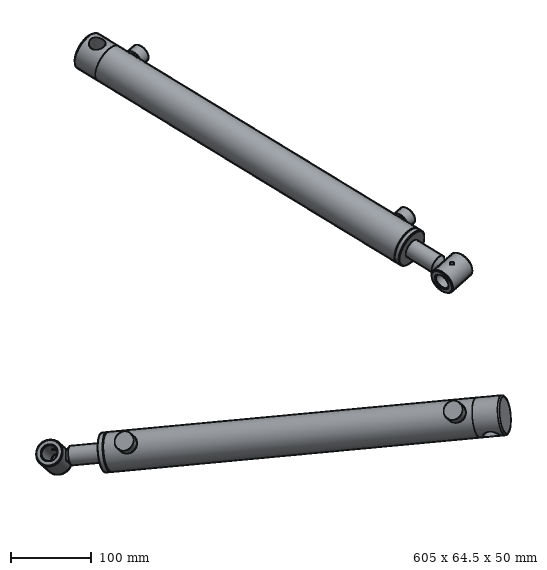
import cadquery as cq

overall_length = 605.0
barrel_diameter = 50.0
barrel_radius = barrel_diameter / 2

cap_length = 35.0
cap_chamfer = 2.0
cap_hole_diameter = 20.5
cap_hole_x = 17.5

gland_end_x = 523.5
gland_length = 8.0
gland_chamfer = 1.0
barrel_end_x = gland_end_x - gland_length

eye_diameter = 35.0
eye_length = 40.0
eye_bore_diameter = 20.0
eye_chamfer = 1.0
grease_hole_diameter = 5.5
eye_x = overall_length - eye_diameter / 2

rod_diameter = 25.0
rod_shoulder_x = 565.0
rod_taper = 7.0

port_diameter = 25.0
port_height = 14.5
port_chamfer = 2.0
port_seat_depth = 1.0
port_positions = [55.0, 483.5]


def cylinder_along_x(diameter, start_x, end_x):
    return cq.Workplane("YZ", origin=(start_x, 0, 0)).circle(diameter / 2).extrude(end_x - start_x)


def cylinder_along_y(diameter, length, center_x):
    return cq.Workplane("XZ", origin=(center_x, length / 2, 0)).circle(diameter / 2).extrude(length)


def cylinder_up_z(diameter, start_z, end_z, center_x):
    return cq.Workplane("XY", origin=(center_x, 0, start_z)).circle(diameter / 2).extrude(end_z - start_z)


def make_base_cap():
    cap = cylinder_along_x(barrel_diameter, 0, cap_length).faces("<X").chamfer(cap_chamfer)
    return cap.cut(cylinder_up_z(cap_hole_diameter, -barrel_radius, barrel_radius, cap_hole_x))


def make_barrel():
    return cylinder_along_x(barrel_diameter, cap_length, barrel_end_x)


def make_gland():
    gland = cylinder_along_x(barrel_diameter, barrel_end_x, gland_end_x)
    gland = gland.faces("<X or >X").chamfer(gland_chamfer)
    return gland.cut(cylinder_along_x(rod_diameter, barrel_end_x, gland_end_x))


def make_rod():
    rod = cylinder_along_x(rod_diameter, barrel_end_x, rod_shoulder_x + rod_taper)
    rod = rod.faces(">X").chamfer(rod_taper)
    return rod.cut(cylinder_along_y(eye_diameter, eye_length, eye_x))


def make_rod_eye():
    eye = cylinder_along_y(eye_diameter, eye_length, eye_x)
    eye = eye.cut(cylinder_along_y(eye_bore_diameter, eye_length, eye_x))
    eye = eye.faces("<Y or >Y").chamfer(eye_chamfer)
    return eye.cut(cylinder_up_z(grease_hole_diameter, 0, eye_diameter / 2, eye_x))


def make_port(center_x):
    outer_y = barrel_radius + port_height
    port = (
        cq.Workplane("XZ", origin=(center_x, outer_y, 0))
        .circle(port_diameter / 2)
        .extrude(port_height + port_seat_depth)
        .faces("<Y")
        .chamfer(port_chamfer)
    )
    return port.cut(make_barrel())


base_cap = make_base_cap()
barrel = make_barrel()
gland = make_gland()
rod = make_rod()
rod_eye = make_rod_eye()
ports = [make_port(x) for x in port_positions]

result = cq.Compound.makeCompound(
    [
        base_cap.val(),
        barrel.val(),
        gland.val(),
        rod.val(),
        rod_eye.val(),
        *[port.val() for port in ports],
    ]
)